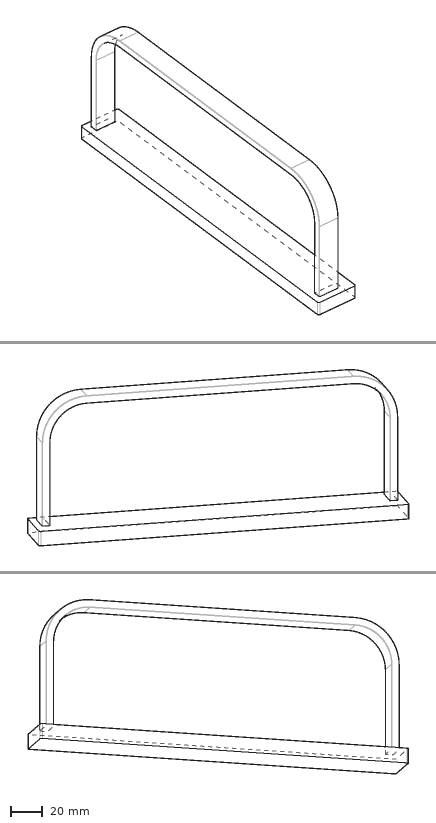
import cadquery as cq

base_length = 240.0
base_width = 30.0
base_height = 9.5
base_corner_radius = 1.2

total_height = 93.0
strap_thickness = 5.0
strap_width = 15.0
bend_radius = 28.8
handle_end_inset = 4.8
handle_front_inset = 4.5
strap_edge_radius = 0.2

handle_length = base_length - 2 * handle_end_inset
handle_height = total_height - base_height
handle_front = -base_width / 2 + handle_front_inset


def make_base():
    """Rectangular plate with its underside at Z = 0 and rounded upright edges."""
    plate = cq.Workplane("XY").box(
        base_length, base_width, base_height, centered=(True, True, False)
    )
    return plate.edges("|Z").fillet(base_corner_radius)


def arch_block(length, height, radius):
    """Solid block on top of the base, with its two upper corners rounded."""
    block = cq.Workplane("XY").box(length, strap_width, height, centered=(True, False, False))
    return block.edges("|Y and >Z").fillet(radius).translate((0, handle_front, base_height))


def make_handle():
    """Arched strap of constant thickness, with its front and back edges rounded."""
    outside = arch_block(handle_length, handle_height, bend_radius)
    opening = arch_block(
        handle_length - 2 * strap_thickness,
        handle_height - strap_thickness,
        bend_radius - strap_thickness,
    )
    strap = outside.cut(opening)
    return strap.faces("<Y or >Y").edges().fillet(strap_edge_radius)


base = make_base()
handle = make_handle()

result = cq.Compound.makeCompound([base.val(), handle.val()])